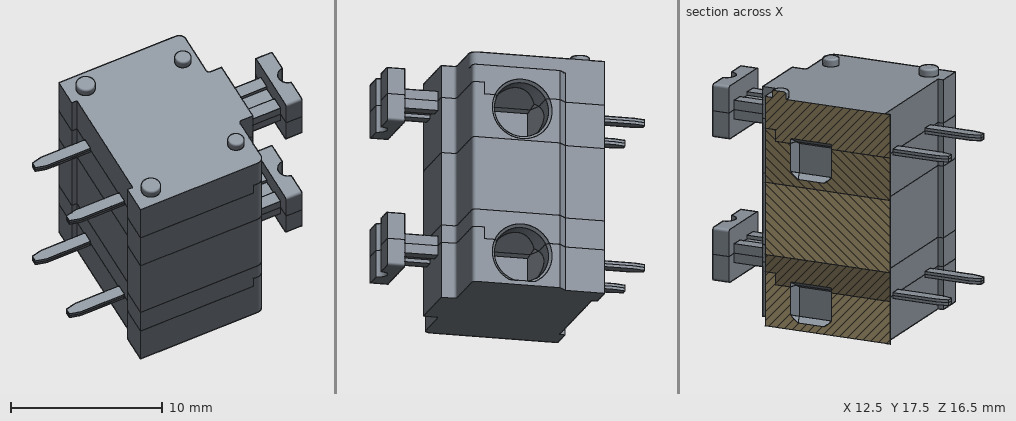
import cadquery as cq


LEDGE_TOP = 14.98
BODY_TOP = 16.0
LAYER = LEDGE_TOP / 3
END_PLATE = BODY_TOP - LEDGE_TOP
POLE_LEVELS = [0, 2 * LAYER]
PIN_LEVEL = 3.0
BUTTON_LEVEL = 3.8
PARTING_STEP_Y = 12.0

BODY_LEFT = 0.5
BODY_RIGHT = 12.5
BODY_CENTER = (BODY_LEFT + BODY_RIGHT) / 2
FOOT_Y = 3.62
FOOT_WIDTH = 1.9
FOOT_HEIGHT = 0.38
SHOULDER_Y = 12.8
SHOULDER_RADIUS = 0.49
TOWER_WIDTH = 4.58
TOWER_TOP = 13.82
TOWER_BASE_RADIUS = 0.21

LEDGE_BOTTOM = 6.32
LEDGE_RADIUS = 0.26

ENTRY_Y = 9.42
ENTRY_LEVEL = 2.15
MOUTH_DIAMETER = 4.1
BORE_DIAMETER = 3.71
MOUTH_CHAMFER = (MOUTH_DIAMETER - BORE_DIAMETER) / 2
FUNNEL_START = 1.36
ENTRY_DEPTH = 3.15
THROAT_WIDTH = 2.43
THROAT_TOP = 0.65
THROAT_BOTTOM = 1.4
BOTTOM_WALL = ENTRY_LEVEL - BORE_DIAMETER / 2

OVERALL_Y = 17.5
HEAD_WIDTH = 4.53
HEAD_LENGTH = 1.19
HEAD_HEIGHT = 3.7
HEAD_RADIUS = 0.2
NOTCH_DIAMETER = 1.3
NOTCH_DEPTH = 0.6
STEM_WIDTH = 2.89
STEM_HEIGHT = 1.31
STEM_GROOVE_WIDTH = 1.12
STEM_GROOVE_DEPTH = 0.25

PIN_PITCH = LAYER
PIN_WIDTH = 0.8
PIN_THICKNESS = 0.4
PIN_TAPER = 0.75
PIN_TIP_WIDTH = 0.44

PEG_HEIGHT = 0.5
PEG_RADIUS = 0.14
UPPER_PEG_DIAMETER = 1.1
UPPER_PEG_SPACING = 7.79
UPPER_PEG_Y = 11.76
LOWER_PEG_DIAMETER = 1.3
LOWER_PEG_SPACING = 9.57
LOWER_PEG_Y = 5.0


def block(width, length, height, center):
    return cq.Workplane("XY").box(width, length, height).translate(center)


def outline_slab(bottom, height):
    """Housing outline with two feet, rounded shoulders and the button tower."""
    recess_y = FOOT_Y + FOOT_HEIGHT
    tower_left = BODY_CENTER - TOWER_WIDTH / 2
    tower_right = BODY_CENTER + TOWER_WIDTH / 2
    slab = (
        cq.Workplane("XY", origin=(0, 0, bottom))
        .moveTo(BODY_LEFT, FOOT_Y)
        .lineTo(BODY_LEFT + FOOT_WIDTH, FOOT_Y)
        .lineTo(BODY_LEFT + FOOT_WIDTH, recess_y)
        .lineTo(BODY_RIGHT - FOOT_WIDTH, recess_y)
        .lineTo(BODY_RIGHT - FOOT_WIDTH, FOOT_Y)
        .lineTo(BODY_RIGHT, FOOT_Y)
        .lineTo(BODY_RIGHT, SHOULDER_Y)
        .lineTo(tower_right, SHOULDER_Y)
        .lineTo(tower_right, TOWER_TOP)
        .lineTo(tower_left, TOWER_TOP)
        .lineTo(tower_left, SHOULDER_Y)
        .lineTo(BODY_LEFT, SHOULDER_Y)
        .close()
        .extrude(height)
    )

    def upright_edges(x_positions):
        points = [(x, SHOULDER_Y, bottom + height / 2) for x in x_positions]
        picked = slab.edges(cq.selectors.NearestToPointSelector(points[0]))
        return picked.add(slab.edges(cq.selectors.NearestToPointSelector(points[1])))

    slab = upright_edges([BODY_LEFT, BODY_RIGHT]).fillet(SHOULDER_RADIUS)
    return upright_edges([tower_left, tower_right]).fillet(TOWER_BASE_RADIUS)


def ledge(bottom, height):
    """Raised strip on the entry side, rounded at one end and sloping at the other."""
    root = BODY_LEFT + SHOULDER_RADIUS
    return (
        cq.Workplane("XY", origin=(0, 0, bottom))
        .moveTo(root, LEDGE_BOTTOM)
        .lineTo(BODY_LEFT, LEDGE_BOTTOM)
        .lineTo(0, LEDGE_BOTTOM + BODY_LEFT)
        .lineTo(0, SHOULDER_Y - LEDGE_RADIUS)
        .radiusArc((LEDGE_RADIUS, SHOULDER_Y), LEDGE_RADIUS)
        .lineTo(root, SHOULDER_Y)
        .close()
        .extrude(height)
    )


def housing_layer(bottom):
    return outline_slab(bottom, LAYER).union(ledge(bottom, LAYER))


def wire_entry(level):
    """Chamfered round bore that narrows through four flat walls to a rectangular throat."""
    axis_z = level + ENTRY_LEVEL
    bore_radius = BORE_DIAMETER / 2
    bore = cq.Workplane("YZ").circle(bore_radius).extrude(ENTRY_DEPTH)
    straight = cq.Workplane("YZ").rect(MOUTH_DIAMETER, MOUTH_DIAMETER).extrude(FUNNEL_START)
    funnel = (
        cq.Workplane("YZ", origin=(FUNNEL_START, 0, 0))
        .rect(BORE_DIAMETER, BORE_DIAMETER)
        .workplane(offset=ENTRY_DEPTH - FUNNEL_START)
        .center(0, (THROAT_TOP - THROAT_BOTTOM) / 2)
        .rect(THROAT_WIDTH, THROAT_TOP + THROAT_BOTTOM)
        .loft(ruled=True)
    )
    narrowing_bore = bore.intersect(straight.union(funnel)).translate((0, ENTRY_Y, axis_z))
    mouth = (
        cq.Workplane("YZ", origin=(0, ENTRY_Y, axis_z))
        .circle(MOUTH_DIAMETER / 2)
        .workplane(offset=MOUTH_CHAMFER)
        .circle(bore_radius)
        .loft()
    )
    bottom_wall = block(
        2 * ENTRY_DEPTH, MOUTH_DIAMETER, BOTTOM_WALL, (0, ENTRY_Y, BOTTOM_WALL / 2)
    )
    return narrowing_bore.union(mouth.cut(bottom_wall))


def push_button(level):
    """Grooved stem with a notched head."""
    axis_z = level + BUTTON_LEVEL
    head_start = OVERALL_Y - HEAD_LENGTH
    stem_length = head_start - TOWER_TOP
    stem_y = TOWER_TOP + stem_length / 2
    button = block(STEM_WIDTH, stem_length, STEM_HEIGHT, (BODY_CENTER, stem_y, axis_z))
    for side in (-1, 1):
        face_z = axis_z + side * STEM_HEIGHT / 2
        groove = block(
            STEM_GROOVE_WIDTH, stem_length, 2 * STEM_GROOVE_DEPTH, (BODY_CENTER, stem_y, face_z)
        )
        button = button.cut(groove)
    head = block(
        HEAD_WIDTH, HEAD_LENGTH, HEAD_HEIGHT, (BODY_CENTER, head_start + HEAD_LENGTH / 2, axis_z)
    )
    head = head.edges("|Y").fillet(HEAD_RADIUS)
    notch_y = OVERALL_Y - NOTCH_DEPTH + NOTCH_DIAMETER / 2
    notch = (
        cq.Workplane("XY", origin=(BODY_CENTER, notch_y, axis_z))
        .circle(NOTCH_DIAMETER / 2)
        .extrude(HEAD_HEIGHT, both=True)
    )
    return button.union(head.cut(notch))


def solder_pin(center_x, level):
    """Flat pin that runs from the recess between the feet to a tapered tip."""
    root_y = FOOT_Y + FOOT_HEIGHT
    return (
        cq.Workplane("XY", origin=(center_x, 0, level + PIN_LEVEL - PIN_THICKNESS / 2))
        .moveTo(-PIN_TIP_WIDTH / 2, 0)
        .lineTo(PIN_TIP_WIDTH / 2, 0)
        .lineTo(PIN_WIDTH / 2, PIN_TAPER)
        .lineTo(PIN_WIDTH / 2, root_y)
        .lineTo(-PIN_WIDTH / 2, root_y)
        .lineTo(-PIN_WIDTH / 2, PIN_TAPER)
        .close()
        .extrude(PIN_THICKNESS)
    )


def whole_pole(level):
    pole = housing_layer(level).cut(wire_entry(level)).union(push_button(level))
    for side in (-1, 1):
        pole = pole.union(solder_pin(BODY_CENTER + side * PIN_PITCH / 2, level))
    return pole


def below_parting(level):
    """Space under the stepped parting face of one pole."""
    return (
        cq.Workplane("YZ")
        .moveTo(0, level)
        .lineTo(OVERALL_Y, level)
        .lineTo(OVERALL_Y, level + BUTTON_LEVEL)
        .lineTo(PARTING_STEP_Y, level + BUTTON_LEVEL)
        .lineTo(PARTING_STEP_Y, level + PIN_LEVEL)
        .lineTo(0, level + PIN_LEVEL)
        .close()
        .extrude(BODY_RIGHT)
    )


def end_plate(bottom):
    """Plate with four locating pegs that closes the upper pole."""
    plate = outline_slab(bottom, END_PLATE)
    peg_rows = [
        (UPPER_PEG_DIAMETER, UPPER_PEG_SPACING, UPPER_PEG_Y),
        (LOWER_PEG_DIAMETER, LOWER_PEG_SPACING, LOWER_PEG_Y),
    ]
    for diameter, spacing, row_y in peg_rows:
        pegs = (
            cq.Workplane("XY", origin=(BODY_CENTER, row_y, bottom + END_PLATE))
            .pushPoints([(-spacing / 2, 0), (spacing / 2, 0)])
            .circle(diameter / 2)
            .extrude(PEG_HEIGHT)
            .faces(">Z")
            .edges()
            .fillet(PEG_RADIUS)
        )
        plate = plate.union(pegs)
    return plate


def pole_base(level):
    return whole_pole(level).intersect(below_parting(level))


def pole_cover(level):
    return whole_pole(level).cut(below_parting(level))


lower_level, upper_level = POLE_LEVELS
pole_bases = [pole_base(level) for level in POLE_LEVELS]
lower_cover = pole_cover(lower_level)
upper_cover = pole_cover(upper_level).union(end_plate(upper_level + LAYER))
spacer = housing_layer(LAYER)

result = cq.Compound.makeCompound(
    [base.val() for base in pole_bases] + [lower_cover.val(), spacer.val(), upper_cover.val()]
)